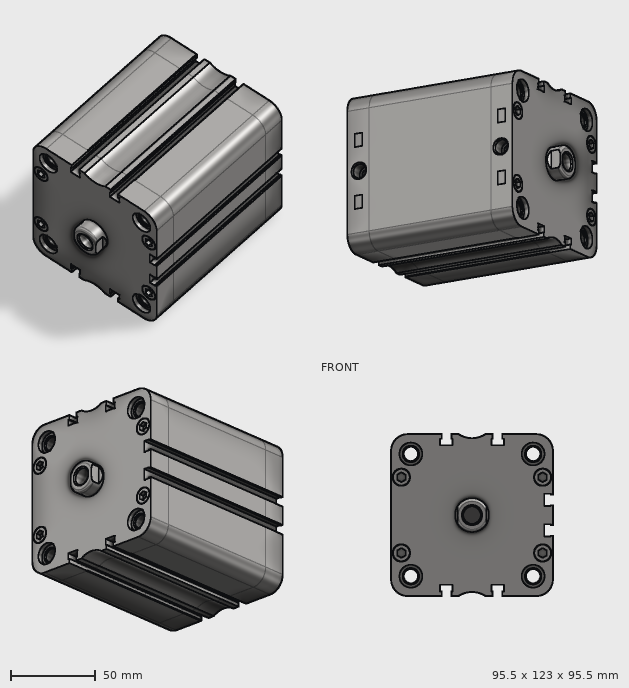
import cadquery as cq
import math


SIDE = 95.5
HALF = SIDE / 2
CORNER_RADIUS = 10.0
CAP_LENGTH = 15.0
TOTAL_LENGTH = 123.0
ROD_PROTRUSION = 9.0
HOUSING_LENGTH = TOTAL_LENGTH - ROD_PROTRUSION
BODY_LENGTH = HOUSING_LENGTH - 2 * CAP_LENGTH
FRONT_Y = 0.0
BODY_Y = FRONT_Y + CAP_LENGTH
REAR_CAP_Y = BODY_Y + BODY_LENGTH
REAR_Y = FRONT_Y + HOUSING_LENGTH

SLOT_FLOOR_INNER = 11.6
SLOT_FLOOR_OUTER = 18.7
SLOT_MOUTH_INNER = 12.1
SLOT_MOUTH_OUTER = 17.75
SLOT_LIP = 2.8
SLOT_DEPTH = 6.6
LIP_CHAMFER = 0.4

SIDE_SLOT_OFFSET = 9.0
SIDE_SLOT_FLOOR = 7.1
SIDE_SLOT_MOUTH = 6.2
SIDE_SLOT_LIP = 1.4
SIDE_SLOT_DEPTH = 5.2

GROOVE_HALF_WIDTH = 8.0
GROOVE_DEPTH = 2.4
GROOVE_RADIUS = (GROOVE_HALF_WIDTH**2 + GROOVE_DEPTH**2) / (2 * GROOVE_DEPTH)
GROOVE_BEVEL_WIDTH = 0.3
GROOVE_BEVEL_DEPTH = 1.4

MOUNT_OFFSET = 36.0
MOUNT_BORE = 8.38
MOUNT_BEVEL = 9.8
MOUNT_BEVEL_DEPTH = (MOUNT_BEVEL - MOUNT_BORE) / 2
MOUNT_COUNTERBORE = 13.5
MOUNT_COUNTERBORE_DEPTH = 3.2

SCREW_X = 41.6
SCREW_Z = 22.3
SCREW_POCKET = 10.3
SCREW_HEAD = 9.8
SCREW_HEAD_HEIGHT = 6.0
HEX_ACROSS_FLATS = 5.0
HEX_DEPTH = 3.0
HEX_SIDES = 6
HEX_TURN = 180 / HEX_SIDES

PORT_INSET = 8.1
PORT_MOUTH = 10.3
PORT_BORE = 8.57
PORT_BEVEL_DEPTH = (PORT_MOUTH - PORT_BORE) / 2
PORT_DEPTH = 8.0
PORT_PASSAGE = 5.0
PORT_PASSAGE_DEPTH = 4.0

LABEL_INSET = 7.7
LABEL_OFFSET = 19.0
LABEL_WIDTH = 5.2
LABEL_HEIGHT = 8.1
LABEL_DEPTH = 0.2

ROD_DIAMETER = 20.0
ROD_EDGE_RADIUS = 1.7
ROD_ACROSS_FLATS = 16.7
FLAT_LENGTH = 6.3
ROD_BORE = 10.3
ROD_BORE_MOUTH = 12.0
ROD_BORE_DEPTH = 20.0
ROD_BEVEL_DEPTH = (ROD_BORE_MOUTH - ROD_BORE) / 2


def extrude_along_y(sketch, length):
    """Extrude an XZ sketch toward +Y."""
    return sketch.extrude(-length)


def section_plane(y):
    """XZ workplane at the given Y station."""
    return cq.Workplane("XZ", origin=(0, y, 0))


def cylinder_y(x, z, y, diameter, length):
    """Cylinder from Y = y toward +Y."""
    return extrude_along_y(section_plane(y).center(x, z).circle(diameter / 2), length)


def beveled_hole(start, direction, mouth, bore, bevel_depth, depth):
    """Cutter for a hole whose mouth tapers at the start point down to the bore."""
    axis = cq.Vector(*direction)
    point = cq.Vector(*start)
    cone = cq.Solid.makeCone(mouth / 2, bore / 2, bevel_depth, point, axis)
    shaft = cq.Solid.makeCylinder(bore / 2, depth, point, axis)
    return cq.Workplane(obj=cone).union(cq.Workplane(obj=shaft))


def prism(points, y, length):
    """Extrude a closed XZ polygon toward +Y."""
    return extrude_along_y(section_plane(y).polyline(points).close(), length)


def top_slots():
    """Pair of undercut slots along the top, over the full housing length."""
    lip_z = HALF - SLOT_LIP
    floor_z = HALF - SLOT_DEPTH
    outline = [
        (SLOT_MOUTH_INNER, HALF),
        (SLOT_MOUTH_INNER, lip_z),
        (SLOT_FLOOR_INNER, lip_z),
        (SLOT_FLOOR_INNER, floor_z),
        (SLOT_FLOOR_OUTER, floor_z),
        (SLOT_FLOOR_OUTER, lip_z),
        (SLOT_MOUTH_OUTER, lip_z),
        (SLOT_MOUTH_OUTER, HALF),
    ]
    slot = prism(outline, FRONT_Y, HOUSING_LENGTH)
    return slot.union(slot.mirror("YZ"))


def side_slot():
    """Undercut slot on the upper half of the +X side."""
    lip_x = HALF - SIDE_SLOT_LIP
    floor_x = HALF - SIDE_SLOT_DEPTH
    half_mouth = SIDE_SLOT_MOUTH / 2
    half_floor = SIDE_SLOT_FLOOR / 2
    outline = [
        (HALF, SIDE_SLOT_OFFSET - half_mouth),
        (lip_x, SIDE_SLOT_OFFSET - half_mouth),
        (lip_x, SIDE_SLOT_OFFSET - half_floor),
        (floor_x, SIDE_SLOT_OFFSET - half_floor),
        (floor_x, SIDE_SLOT_OFFSET + half_floor),
        (lip_x, SIDE_SLOT_OFFSET + half_floor),
        (lip_x, SIDE_SLOT_OFFSET + half_mouth),
        (HALF, SIDE_SLOT_OFFSET + half_mouth),
    ]
    return prism(outline, FRONT_Y, HOUSING_LENGTH)


def edge_bevels(y, length):
    """Bevels on the groove edges and on the outer lips of the top slots."""
    groove_edge = GROOVE_HALF_WIDTH + GROOVE_BEVEL_WIDTH
    groove_outline = [(-groove_edge, HALF), (groove_edge, HALF), (0, HALF - GROOVE_BEVEL_DEPTH)]
    lip_outline = [
        (SLOT_MOUTH_OUTER, HALF),
        (SLOT_MOUTH_OUTER, HALF - LIP_CHAMFER),
        (SLOT_MOUTH_OUTER + LIP_CHAMFER, HALF),
    ]
    lip = prism(lip_outline, y, length)
    return [prism(groove_outline, y, length), lip, lip.mirror("YZ")]


def housing_section(y, length, beveled):
    """One length of the rounded square profile with its top and bottom grooves."""
    section = extrude_along_y(section_plane(y).rect(SIDE, SIDE), length)
    section = section.edges("|Y").fillet(CORNER_RADIUS)
    groove_z = HALF - GROOVE_DEPTH + GROOVE_RADIUS
    cuts = [cylinder_y(0, groove_z, y, 2 * GROOVE_RADIUS, length)]
    if beveled:
        cuts += edge_bevels(y, length)
    for cut in cuts:
        section = section.cut(cut).cut(cut.mirror("XY"))
    return section


def make_housing():
    """Front cap, body and rear cap joined, keeping the joint lines between them."""
    housing = housing_section(FRONT_Y, CAP_LENGTH, beveled=False)
    housing = housing.union(housing_section(BODY_Y, BODY_LENGTH, beveled=True), clean=False)
    housing = housing.union(housing_section(REAR_CAP_Y, CAP_LENGTH, beveled=True), clean=False)
    for slots in (top_slots(), side_slot()):
        housing = housing.cut(slots, clean=False).cut(slots.mirror("XY"), clean=False)
    return housing


def mounting_hole(x, z):
    """Through hole with a counterbore and a beveled seat at the front face."""
    counterbore = cylinder_y(x, z, FRONT_Y, MOUNT_COUNTERBORE, MOUNT_COUNTERBORE_DEPTH)
    seat = (x, FRONT_Y + MOUNT_COUNTERBORE_DEPTH, z)
    through = beveled_hole(seat, (0, 1, 0), MOUNT_BEVEL, MOUNT_BORE, MOUNT_BEVEL_DEPTH, HOUSING_LENGTH)
    return counterbore.union(through)


def screw_cut(x, z):
    """Clearance ring around a flush screw head, with its hexagon socket."""
    pocket = cylinder_y(x, z, FRONT_Y, SCREW_POCKET, SCREW_HEAD_HEIGHT)
    head = cylinder_y(x, z, FRONT_Y, SCREW_HEAD, SCREW_HEAD_HEIGHT)
    across_corners = HEX_ACROSS_FLATS / math.cos(math.pi / HEX_SIDES)
    hexagon = section_plane(FRONT_Y).center(x, z).transformed(rotate=(0, 0, HEX_TURN))
    hexagon = hexagon.polygon(HEX_SIDES, across_corners)
    return pocket.cut(head).union(extrude_along_y(hexagon, HEX_DEPTH))


def port(y):
    """Cutter for an air port: beveled bore with a narrower passage in its floor."""
    threaded = beveled_hole((-HALF, y, 0), (1, 0, 0), PORT_MOUTH, PORT_BORE, PORT_BEVEL_DEPTH, PORT_DEPTH)
    floor_point = cq.Vector(PORT_DEPTH - HALF, y, 0)
    passage = cq.Solid.makeCylinder(PORT_PASSAGE / 2, PORT_PASSAGE_DEPTH, floor_point, cq.Vector(1, 0, 0))
    return threaded.union(cq.Workplane(obj=passage))


def label_panel(y, z):
    """Cutter for a label panel, half of it standing outside the -X side."""
    panel = cq.Workplane("XY").box(2 * LABEL_DEPTH, LABEL_WIDTH, LABEL_HEIGHT)
    return panel.translate((-HALF, y, z))


def make_rod():
    """Rod end with a rounded rim and two wrench flats that run out at 45 degrees."""
    tip_y = FRONT_Y - ROD_PROTRUSION
    rod = cylinder_y(0, 0, tip_y, ROD_DIAMETER, ROD_PROTRUSION + CAP_LENGTH)
    rod = rod.faces("<Y").edges().fillet(ROD_EDGE_RADIUS)
    flat_x = ROD_ACROSS_FLATS / 2
    outer_x = ROD_DIAMETER
    flat_end = tip_y + FLAT_LENGTH
    outline = [
        (flat_x, tip_y),
        (flat_x, flat_end),
        (outer_x, flat_end + outer_x - flat_x),
        (outer_x, tip_y),
    ]
    flat = cq.Workplane("XY").polyline(outline).close().extrude(ROD_DIAMETER / 2, both=True)
    return rod.cut(flat).cut(flat.mirror("YZ"))


def rod_bore():
    """Cutter for the blind bore in the rod end."""
    tip = (0, FRONT_Y - ROD_PROTRUSION, 0)
    return beveled_hole(tip, (0, 1, 0), ROD_BORE_MOUTH, ROD_BORE, ROD_BEVEL_DEPTH, ROD_BORE_DEPTH)


result = make_housing().union(make_rod(), clean=False).cut(rod_bore(), clean=False)

for x_side in (-1, 1):
    for z_side in (-1, 1):
        result = result.cut(mounting_hole(x_side * MOUNT_OFFSET, z_side * MOUNT_OFFSET), clean=False)
        result = result.cut(screw_cut(x_side * SCREW_X, z_side * SCREW_Z), clean=False)

for port_y in (FRONT_Y + PORT_INSET, REAR_Y - PORT_INSET):
    result = result.cut(port(port_y), clean=False)

for label_y in (FRONT_Y + LABEL_INSET, REAR_Y - LABEL_INSET):
    for label_z in (-LABEL_OFFSET, LABEL_OFFSET):
        result = result.cut(label_panel(label_y, label_z), clean=False)